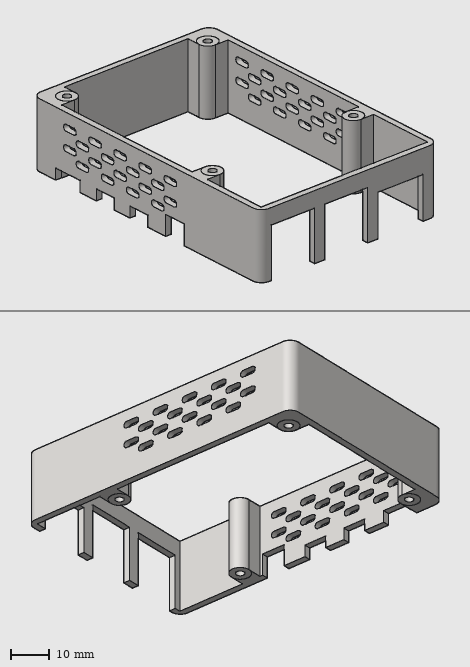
import cadquery as cq

LENGTH = 91.0
WIDTH = 62.0
HEIGHT = 21.5
WALL = 2.0
CORNER_RADIUS = 3.0

SLEEVE_RADIUS = 3.0
SLEEVE_BORE = 2.5
SLEEVE_INSET = 6.5
SLEEVE_SPACING = 58.1
CORNER_SLEEVE_X = SLEEVE_INSET
MIDDLE_SLEEVE_X = CORNER_SLEEVE_X + SLEEVE_SPACING
SLEEVE_ROWS_Y = (SLEEVE_INSET, WIDTH - SLEEVE_INSET)

VENT_LENGTH = 5.0
VENT_HEIGHT = 2.0
VENT_PITCH_X = 10.0
VENT_PITCH_Z = 3.0
VENT_FIRST_X = 15.0
VENT_TOP_Z = HEIGHT - 4.55
VENT_ROWS = 4
VENTS_IN_LONG_ROW = 5

FRONT_NOTCHES = (
    (9.4, 9.65, 3.55),
    (25.6, 7.1, 3.55),
    (38.95, 7.1, 3.55),
    (53.2, 7.4, 6.5),
)
END_NOTCHES = (
    (3.9, 15.0, 16.3),
    (22.5, 14.9, 16.3),
    (41.0, 15.65, 13.7),
)


def block(x, y, length, width, height):
    """Box with its lowest corner at (x, y, 0)."""
    return cq.Workplane("XY").box(length, width, height, centered=False).translate((x, y, 0))


def make_band():
    """Rounded rectangular ring, open at top and bottom, with square inner corners."""
    outside = block(0, 0, LENGTH, WIDTH, HEIGHT).edges("|Z").fillet(CORNER_RADIUS)
    return outside.cut(block(WALL, WALL, LENGTH - 2 * WALL, WIDTH - 2 * WALL, HEIGHT))


def make_wall_web(x):
    """Web from the front wall back to the axis of a sleeve at x, as wide as the sleeve."""
    start = WALL / 2
    return block(x - SLEEVE_RADIUS, start, 2 * SLEEVE_RADIUS, SLEEVE_INSET - start, HEIGHT)


def make_corner_web():
    """Fill between the front left corner and its sleeve, reaching both side tangents."""
    start = CORNER_RADIUS / 2
    to_axis = SLEEVE_INSET - start
    to_tangent = to_axis + SLEEVE_RADIUS
    along_x = block(start, start, to_tangent, to_axis, HEIGHT)
    along_y = block(start, start, to_axis, to_tangent, HEIGHT)
    return along_x.union(along_y)


def make_vents():
    """Cutters for the vent slots, long enough to pass through both long walls."""
    vents = cq.Workplane("XZ")
    for row in range(VENT_ROWS):
        short_row = row % 2
        first_x = VENT_FIRST_X + short_row * VENT_PITCH_X / 2
        centers = [
            (first_x + i * VENT_PITCH_X, VENT_TOP_Z - row * VENT_PITCH_Z)
            for i in range(VENTS_IN_LONG_ROW - short_row)
        ]
        vents = vents.pushPoints(centers).slot2D(VENT_LENGTH, VENT_HEIGHT).extrude(-WIDTH)
    return vents


def make_frame():
    """Band with its four webs, vented and notched, before the sleeve seats are bored."""
    webs = make_corner_web().union(make_wall_web(MIDDLE_SLEEVE_X))
    back_webs = webs.mirror("XZ").translate((0, WIDTH, 0))
    frame = make_band().union(webs).union(back_webs)
    frame = frame.cut(make_vents())
    for x, width, height in FRONT_NOTCHES:
        frame = frame.cut(block(x, 0, width, WALL, height))
    for y, width, height in END_NOTCHES:
        frame = frame.cut(block(LENGTH - WALL, y, WALL, width, height))
    return frame


def make_sleeve_seat(x, y):
    return cq.Workplane("XY").center(x, y).circle(SLEEVE_RADIUS).extrude(HEIGHT)


def make_sleeve(x, y):
    return make_sleeve_seat(x, y).faces(">Z").workplane().hole(SLEEVE_BORE)


frame = make_frame()
sleeves = []
for sleeve_x in (CORNER_SLEEVE_X, MIDDLE_SLEEVE_X):
    for sleeve_y in SLEEVE_ROWS_Y:
        frame = frame.cut(make_sleeve_seat(sleeve_x, sleeve_y))
        sleeves.append(make_sleeve(sleeve_x, sleeve_y))

result = cq.Compound.makeCompound([frame.val(), *[sleeve.val() for sleeve in sleeves]])